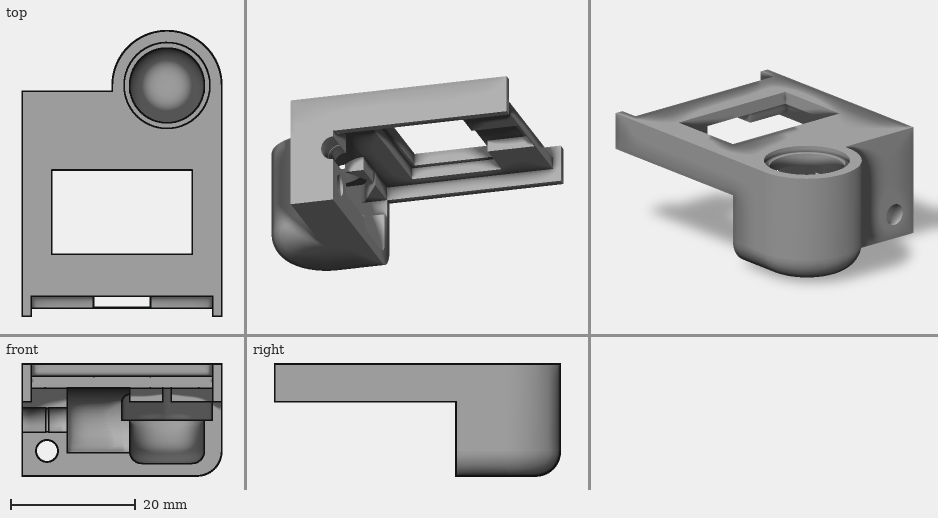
import cadquery as cq
import math

WIDTH = 32.0
LENGTH = 45.8
HEIGHT = 18.0

BOSS_RADIUS = 8.8
BOSS_X = WIDTH - BOSS_RADIUS
BOSS_Y = LENGTH - BOSS_RADIUS
BLOCK_FRONT = 29.05
BLOCK_BACK = 36.1
OUTER_FILLET = 4.05

RAIL_HEIGHT = 6.1
RAIL_BOTTOM = HEIGHT - RAIL_HEIGHT
RAIL_THICKNESS = 1.45
PLATE_THICKNESS = 3.9
PLATE_FRONT = 3.2

WINDOW_LEFT = 4.75
WINDOW_RIGHT = 27.25
WINDOW_FRONT = 10.0
WINDOW_BACK = 23.45

BAR_FRONT = 1.3
BAR_DROP = 2.0
SLOT_WIDTH = 9.05
SLOT_FRONT = 1.45

CAVITY_SIDE_MARGIN = 1.05
CAVITY_END_MARGIN = 0.75

AXLE_Z = 8.98
AXLE_RADIUS = 1.95
AXLE_RIDGE_X = 3.8
AXLE_RIDGE_WIDTH = 0.45
AXLE_RIDGE_HEIGHT = 0.07
WHEEL_RADIUS = 5.2
WHEEL_LEFT = 7.25

HOLE_DIAMETER = 3.5
HOLE_X = 4.0
HOLE_Z = 4.05

BORE_DIAMETER = 12.0
RIM_DIAMETER = 13.8
RIM_DEPTH = 1.0
NUT_WIDTH = 14.45
NUT_CORNER_RADIUS = 1.3
NUT_TOP = HEIGHT - 2.98
NUT_FLOOR = AXLE_Z
POCKET_FLOOR = 2.0
POCKET_FILLET = 2.0


def box(x0, x1, y0, y1, z0, z1):
    """Box between the given limits on each axis."""
    return cq.Workplane("XY").box(x1 - x0, y1 - y0, z1 - z0, centered=False).translate((x0, y0, z0))


def x_cylinder(radius, x0, x1):
    """Cylinder along X on the axle line."""
    return cq.Workplane("YZ", origin=(x0, BLOCK_FRONT, AXLE_Z)).circle(radius).extrude(x1 - x0)


def boss_cylinder(diameter, z0, z1):
    """Vertical cylinder on the boss axis."""
    return cq.Workplane("XY", origin=(BOSS_X, BOSS_Y, z0)).circle(diameter / 2).extrude(z1 - z0)


def round_backed(radius, front, z0, z1):
    """Prism with straight sides and a half-round back about the boss axis."""
    return (
        cq.Workplane("XY", origin=(0, 0, z0))
        .moveTo(BOSS_X - radius, front)
        .lineTo(BOSS_X - radius, BOSS_Y)
        .threePointArc((BOSS_X, BOSS_Y + radius), (BOSS_X + radius, BOSS_Y))
        .lineTo(BOSS_X + radius, front)
        .close()
        .extrude(z1 - z0)
    )


def rear_block():
    """Boss with a rounded bottom edge, joined to the square block on its left."""
    boss = round_backed(BOSS_RADIUS, BLOCK_FRONT, 0, HEIGHT)
    boss = boss.faces("<Z").edges("not <Y").fillet(OUTER_FILLET)
    return boss.union(box(0, BOSS_X, BLOCK_FRONT, BLOCK_BACK, 0, HEIGHT))


def top_plate():
    """Plate between two deeper side rails, with the window, crossbar and underside cavity."""
    inner_left = RAIL_THICKNESS
    inner_right = WIDTH - RAIL_THICKNESS
    plate_bottom = HEIGHT - PLATE_THICKNESS
    bar_top = HEIGHT - BAR_DROP
    slot_left = (WIDTH - SLOT_WIDTH) / 2
    slot_right = slot_left + SLOT_WIDTH
    cavity_left = WINDOW_LEFT - CAVITY_SIDE_MARGIN
    cavity_right = WINDOW_RIGHT + CAVITY_SIDE_MARGIN
    cavity_front = WINDOW_FRONT - CAVITY_END_MARGIN
    cavity_back = WINDOW_BACK + CAVITY_END_MARGIN
    plate = box(0, WIDTH, 0, BLOCK_FRONT, RAIL_BOTTOM, HEIGHT)
    plate = plate.cut(box(inner_left, inner_right, 0, BLOCK_FRONT, RAIL_BOTTOM, plate_bottom))
    plate = plate.cut(box(inner_left, inner_right, 0, BAR_FRONT, plate_bottom, HEIGHT))
    plate = plate.cut(box(inner_left, inner_right, 0, PLATE_FRONT, bar_top, HEIGHT))
    plate = plate.cut(box(slot_left, slot_right, SLOT_FRONT, cavity_front, plate_bottom, bar_top))
    plate = plate.cut(box(cavity_left, cavity_right, cavity_front, cavity_back, plate_bottom, bar_top))
    return plate.cut(box(WINDOW_LEFT, WINDOW_RIGHT, WINDOW_FRONT, WINDOW_BACK, plate_bottom, HEIGHT))


def axle_seat():
    """Axle groove with a narrow raised ring, and the larger wheel seat beside it."""
    ridge_end = AXLE_RIDGE_X + AXLE_RIDGE_WIDTH
    wheel_right = BOSS_X - BORE_DIAMETER / 2
    groove = x_cylinder(AXLE_RADIUS, 0, AXLE_RIDGE_X)
    groove = groove.union(x_cylinder(AXLE_RADIUS - AXLE_RIDGE_HEIGHT, AXLE_RIDGE_X, ridge_end))
    groove = groove.union(x_cylinder(AXLE_RADIUS, ridge_end, WHEEL_LEFT))
    return groove.union(x_cylinder(WHEEL_RADIUS, WHEEL_LEFT, wheel_right))


def nut_trap():
    """Hexagonal recess with rounded corners, open to the front below the rails."""
    across_corners = NUT_WIDTH / math.cos(math.pi / 6)
    hexagon = (
        cq.Workplane("XY", origin=(BOSS_X, BOSS_Y, NUT_FLOOR))
        .transformed(rotate=(0, 0, 30))
        .polygon(6, across_corners)
        .extrude(NUT_TOP - NUT_FLOOR)
        .edges("|Z")
        .fillet(NUT_CORNER_RADIUS)
    )
    entry = box(BOSS_X - NUT_WIDTH / 2, BOSS_X + NUT_WIDTH / 2, BLOCK_FRONT, BOSS_Y, NUT_FLOOR, RAIL_BOTTOM)
    return hexagon.union(entry)


def lower_pocket():
    """Round-backed pocket with a filleted floor, open at the block front."""
    pocket = round_backed(BORE_DIAMETER / 2, BLOCK_FRONT, POCKET_FLOOR, NUT_FLOOR)
    return pocket.faces("<Z").edges("not <Y").fillet(POCKET_FILLET)


def cross_hole():
    """Plain hole along Y through the block."""
    start = cq.Workplane("XZ", origin=(HOLE_X, BLOCK_BACK, HOLE_Z))
    return start.circle(HOLE_DIAMETER / 2).extrude(BLOCK_BACK - BLOCK_FRONT)


def stepped_bore():
    """Bore down to the nut floor with a shallow wider rim at the top."""
    bore = boss_cylinder(BORE_DIAMETER, NUT_FLOOR, HEIGHT)
    return bore.union(boss_cylinder(RIM_DIAMETER, HEIGHT - RIM_DEPTH, HEIGHT))


block = rear_block()
for cutter in (axle_seat(), cross_hole(), lower_pocket(), nut_trap(), stepped_bore()):
    block = block.cut(cutter)
result = block.union(top_plate())